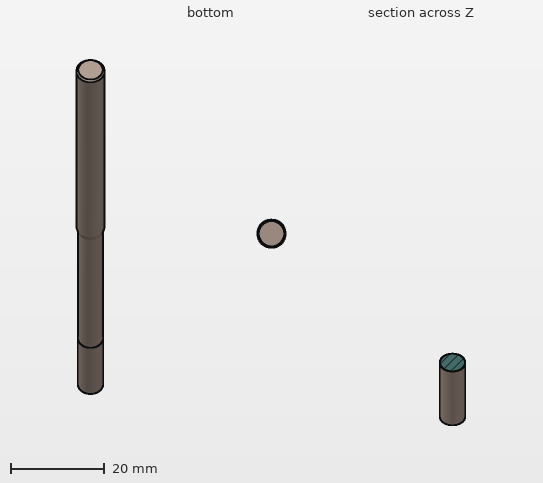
import cadquery as cq

total_length = 110.0
shank_diameter = 6.0
shank_length = 54.8
shank_top_chamfer = 0.4
taper_length = 1.3
neck_diameter = 5.4
tip_diameter = 5.5
tip_length = 16.2

bottom = -total_length / 2
top = bottom + total_length
shank_bottom = top - shank_length
neck_top = shank_bottom - taper_length
tip_top = bottom + tip_length
shank_radius = shank_diameter / 2
neck_radius = neck_diameter / 2


def make_holder():
    """Round shank that tapers down to a slimmer neck, ending on the tip."""
    profile = [
        (0, tip_top),
        (neck_radius, tip_top),
        (neck_radius, neck_top),
        (shank_radius, shank_bottom),
        (shank_radius, top),
        (0, top),
    ]
    body = cq.Workplane("XZ").polyline(profile).close().revolve(360, (0, 0, 0), (0, 1, 0))
    return body.faces(">Z").chamfer(shank_top_chamfer)


def make_tip():
    """Plain cylindrical cutting tip."""
    return cq.Workplane("XY").workplane(offset=bottom).circle(tip_diameter / 2).extrude(tip_length)


holder = make_holder()
tip = make_tip()
result = cq.Compound.makeCompound([holder.val(), tip.val()])